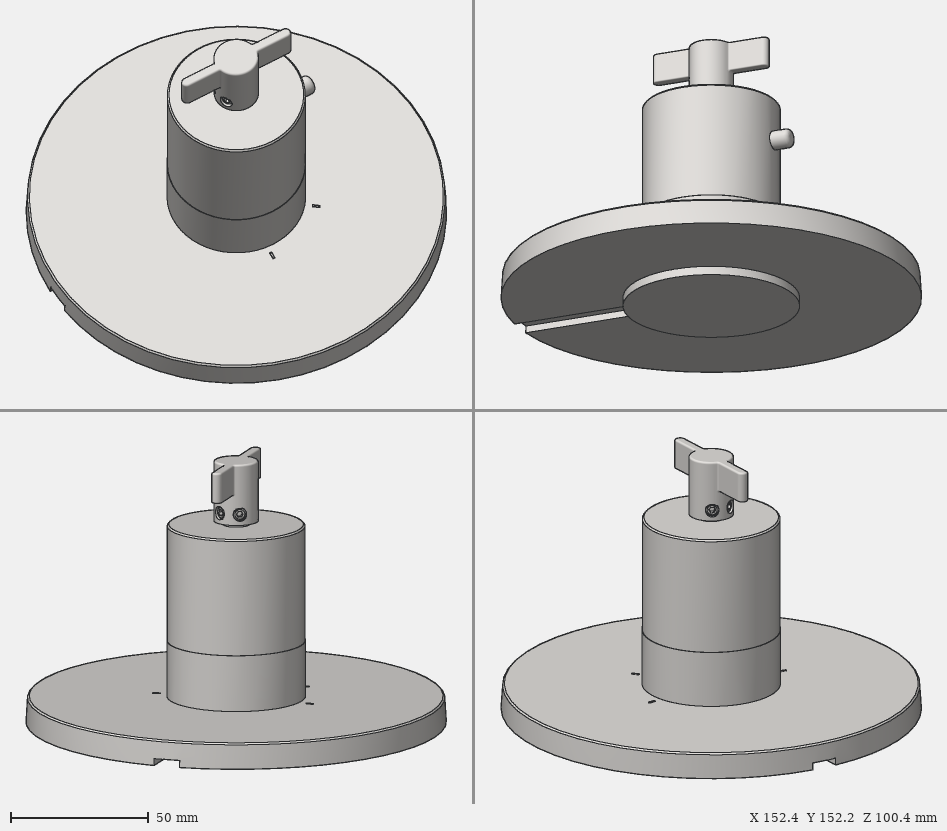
import cadquery as cq
import math

PLATE_RADIUS = 76.2
PLATE_TAPER = 0.6
PLATE_THICKNESS = 9.6
PLATE_TOP_CHAMFER = 0.6
BOSS_RADIUS = 32.0
BOSS_HEIGHT = 3.2
NOTCH_WIDTH = 9.8
NOTCH_HEIGHT = 2.6

TICK_ANGLES = (-5, 50, 127, 190)
TICK_RADIUS = 29.3
TICK_LENGTH = 2.7
TICK_WIDTH = 0.8
TICK_DEPTH = 0.3

SLEEVE_RADIUS = 25.1
SLEEVE_HEIGHT = 20.7
KNOB_RADIUS = 25.0
KNOB_HEIGHT = 43.1
KNOB_CHAMFER = 0.6

BUTTON_RADIUS = 3.5
BUTTON_REACH = 32.0
BUTTON_SEAT_DEPTH = 4.5
BUTTON_ROUND = 1.8
BUTTON_ABOVE_SLEEVE = 26.7

HUB_RADIUS = 8.1
HUB_EDGE_ROUND = 0.8
NECK_RADIUS = 4.9
NECK_HEIGHT = 1.4
HANDLE_HEIGHT = 23.8
WING_REACH = 22.9
WING_WIDTH = 4.0
WING_HEIGHT = 11.1
WING_BOTTOM_ROUND = 0.5
WING_ROOT_ROUND = 0.8

SCREW_ANGLES = (-120, -60)
SCREW_RADIUS = 2.5
SCREW_LENGTH = 2.7
SCREW_RECESS = 0.8
SCREW_ABOVE_NECK = 4.0
SOCKET_ACROSS_CORNERS = 2.5
SCREW_CHAMFER = 0.6
SOCKET_DEPTH = 1.8

PLATE_TOP = BOSS_HEIGHT + PLATE_THICKNESS
SLEEVE_TOP = PLATE_TOP + SLEEVE_HEIGHT
KNOB_TOP = SLEEVE_TOP + KNOB_HEIGHT
HUB_BOTTOM = KNOB_TOP + NECK_HEIGHT
HANDLE_TOP = KNOB_TOP + HANDLE_HEIGHT


def cylinder(radius, bottom, top):
    return cq.Workplane("XY").workplane(offset=bottom).circle(radius).extrude(top - bottom)


def make_plate():
    top_radius = PLATE_RADIUS - PLATE_TAPER
    outline = [
        (0, 0),
        (BOSS_RADIUS, 0),
        (BOSS_RADIUS, BOSS_HEIGHT),
        (PLATE_RADIUS, BOSS_HEIGHT),
        (top_radius, PLATE_TOP),
        (0, PLATE_TOP),
    ]
    plate = cq.Workplane("XZ").polyline(outline).close().revolve(360, (0, 0, 0), (0, 1, 0))
    plate = plate.faces(">Z").chamfer(PLATE_TOP_CHAMFER)
    return plate.cut(make_notch()).cut(make_ticks())


def make_notch():
    """Channel under the plate, from the front rim in to the boss."""
    channel = (
        cq.Workplane("XY")
        .workplane(offset=BOSS_HEIGHT)
        .center(0, -PLATE_RADIUS / 2)
        .rect(NOTCH_WIDTH, PLATE_RADIUS)
        .extrude(NOTCH_HEIGHT)
    )
    return channel.cut(cylinder(BOSS_RADIUS, 0, PLATE_TOP))


def make_ticks():
    ticks = cq.Workplane("XY")
    for angle in TICK_ANGLES:
        tick = (
            cq.Workplane("XY")
            .box(TICK_LENGTH, TICK_WIDTH, TICK_DEPTH, centered=(True, True, False))
            .translate((TICK_RADIUS, 0, PLATE_TOP - TICK_DEPTH))
            .rotate((0, 0, 0), (0, 0, 1), angle)
        )
        ticks = ticks.add(tick)
    return ticks.combine()


def make_sleeve():
    return cylinder(SLEEVE_RADIUS, PLATE_TOP, SLEEVE_TOP)


def make_button():
    inner_end = KNOB_RADIUS - BUTTON_SEAT_DEPTH
    button = (
        cq.Workplane("XZ", origin=(0, inner_end, SLEEVE_TOP + BUTTON_ABOVE_SLEEVE))
        .circle(BUTTON_RADIUS)
        .extrude(inner_end - BUTTON_REACH)
    )
    return button.faces(">Y").edges().fillet(BUTTON_ROUND)


def make_knob(button):
    knob = cylinder(KNOB_RADIUS, SLEEVE_TOP, KNOB_TOP).faces(">Z").chamfer(KNOB_CHAMFER)
    return knob.cut(button)


def make_handle():
    hub = cylinder(HUB_RADIUS, HUB_BOTTOM, HANDLE_TOP)
    wings = (
        cq.Workplane("XY")
        .workplane(offset=HANDLE_TOP - WING_HEIGHT)
        .slot2D(2 * WING_REACH, WING_WIDTH, 90)
        .extrude(WING_HEIGHT)
        .faces("<Z")
        .edges()
        .fillet(WING_BOTTOM_ROUND)
    )
    handle = hub.union(wings)

    root_y = math.sqrt(HUB_RADIUS**2 - (WING_WIDTH / 2) ** 2)
    half_box = WING_WIDTH / 2 + WING_ROOT_ROUND
    roots = cq.selectors.BoxSelector(
        (-half_box, -root_y - WING_ROOT_ROUND, HUB_BOTTOM),
        (half_box, root_y + WING_ROOT_ROUND, HANDLE_TOP),
    )
    handle = handle.edges("|Z").edges(roots).fillet(WING_ROOT_ROUND)
    handle = handle.faces(">Z").edges().fillet(HUB_EDGE_ROUND)

    handle = handle.union(cylinder(NECK_RADIUS, KNOB_TOP, HUB_BOTTOM))
    for angle in SCREW_ANGLES:
        handle = handle.cut(make_screw_hole(angle))
    return handle


def screw_plane(angle):
    """Plane at the inner end of a set screw, facing outward."""
    outward = (math.cos(math.radians(angle)), math.sin(math.radians(angle)), 0)
    inner_end = HUB_RADIUS - SCREW_RECESS - SCREW_LENGTH
    origin = (inner_end * outward[0], inner_end * outward[1], HUB_BOTTOM + SCREW_ABOVE_NECK)
    return cq.Plane(origin=origin, xDir=(0, 0, 1), normal=outward)


def make_screw_hole(angle):
    return cq.Workplane(screw_plane(angle)).circle(SCREW_RADIUS).extrude(SCREW_LENGTH + SCREW_RECESS)


def make_screw(angle):
    outer_face = cq.selectors.DirectionMinMaxSelector(screw_plane(angle).zDir)
    body = cq.Workplane(screw_plane(angle)).circle(SCREW_RADIUS).extrude(SCREW_LENGTH)
    body = body.faces(outer_face).chamfer(SCREW_CHAMFER)
    socket = body.faces(outer_face).workplane().polygon(6, SOCKET_ACROSS_CORNERS)
    return socket.cutBlind(-SOCKET_DEPTH)


plate = make_plate()
sleeve = make_sleeve()
button = make_button()
knob = make_knob(button)
handle = make_handle()
screws = [make_screw(angle) for angle in SCREW_ANGLES]

result = cq.Compound.makeCompound(
    [
        plate.val(),
        sleeve.val(),
        knob.val(),
        button.val(),
        handle.val(),
        *[screw.val() for screw in screws],
    ]
)